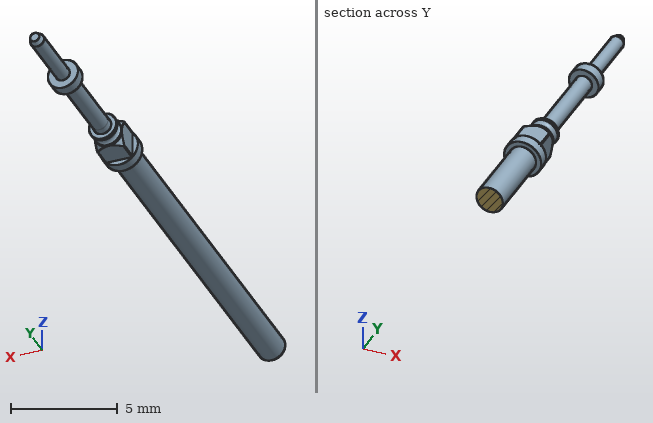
import cadquery as cq

total_length = 29.4

rod_diameter = 0.7
shank_diameter = 0.85
neck_diameter = 0.88
small_collar_diameter = 1.53
barrel_diameter = 1.38
flange_diameter = 1.9

flange_start = 18.43
flange_length = 0.55
flange_end = flange_start + flange_length
square_end = 20.32
ring_end = 21.02
shank_start = 21.4
small_collar_start = 25.35
small_collar_length = 0.6
small_collar_end = small_collar_start + small_collar_length

rod_chamfer_length = 0.3
rod_chamfer_depth = 0.12
tip_chamfer_length = 0.12
tip_chamfer_depth = 0.2
groove_start = 20.4
groove_width = 0.47
groove_depth = 0.12
square_lead_in_length = 0.3


def turned_body():
    """Revolve the stepped round outline around the Y axis."""
    rod = rod_diameter / 2
    shank = shank_diameter / 2
    neck = neck_diameter / 2
    small_collar = small_collar_diameter / 2
    barrel = barrel_diameter / 2
    flange = flange_diameter / 2
    groove_end = groove_start + groove_width
    groove_middle = groove_start + groove_width / 2
    outline = (
        cq.Workplane("XY")
        .moveTo(0, 0)
        .lineTo(barrel - tip_chamfer_depth, 0)
        .lineTo(barrel, tip_chamfer_length)
        .lineTo(barrel, flange_start)
        .lineTo(flange, flange_start)
        .lineTo(flange, flange_end)
        .lineTo(barrel, flange_end)
        .lineTo(barrel, groove_start)
        .threePointArc((barrel - groove_depth, groove_middle), (barrel, groove_end))
        .lineTo(barrel, ring_end)
        .lineTo(neck, ring_end)
        .lineTo(shank, shank_start)
        .lineTo(shank, small_collar_start)
        .lineTo(small_collar, small_collar_start)
        .lineTo(small_collar, small_collar_end)
        .lineTo(rod, small_collar_end)
        .lineTo(rod, total_length - rod_chamfer_length)
        .lineTo(rod - rod_chamfer_depth, total_length)
        .lineTo(0, total_length)
        .close()
    )
    return outline.revolve(360, (0, 0, 0), (0, 1, 0))


def square_section():
    """Square block on the +Y side of the flange, its corners trimmed by a lead-in cone."""
    length = square_end - flange_end
    block = (
        cq.Workplane("XZ", origin=(0, square_end, 0))
        .rect(barrel_diameter, barrel_diameter)
        .extrude(length)
    )
    lead_in = (
        cq.Workplane("XY")
        .moveTo(0, flange_end)
        .lineTo(flange_diameter / 2, flange_end)
        .lineTo(flange_diameter / 2, square_end - square_lead_in_length)
        .lineTo(barrel_diameter / 2, square_end)
        .lineTo(0, square_end)
        .close()
        .revolve(360, (0, 0, 0), (0, 1, 0))
    )
    return block.intersect(lead_in)


result = turned_body().union(square_section())